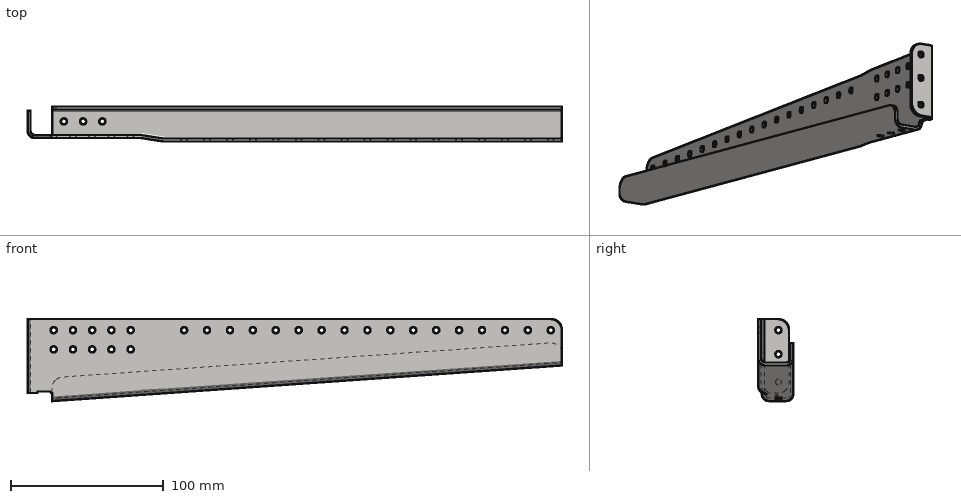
import cadquery as cq
import math

length = 350.0
width = 23.0
depth = 54.0

sheet = 2.0
inner_bend = 3.0
outer_bend = inner_bend + sheet
corner_radius = 7.5

channel_start = 16.0
taper = math.tan(math.radians(4))
lip_height = 15.5
joggle_start = 74.5
joggle_end = 89.5
joggle_offset = 2.35

tab_width = 20.3
tab_depth = 48.5
relief_start = 6.5
relief_height = 1.0
relief_radius = 1.5

hole_diameter = 4.0
top_margin = 7.5
hole_pitch = 12.5
web_columns = 5
web_rows = 2
web_first_x = 17.0
arm_count = 17
arm_first_x = 102.5
arm_last_x = length - top_margin
arm_pitch = (arm_last_x - arm_first_x) / (arm_count - 1)
flange_first_x = 23.8
flange_count = 3
flange_hole_y = 13.3
tab_hole_depths = (top_margin, 23.0, 41.3)


def channel_section(x, front):
    """U-shaped sheet section in the YZ plane at x, with its web face at Y = front."""
    bottom = -depth + (x - channel_start) * taper
    floor = bottom + sheet
    lip_top = bottom + lip_height
    bend_center_z = bottom + outer_bend
    front_center_y = front + outer_bend
    back_center_y = width - outer_bend
    outer_mid = outer_bend * math.sqrt(0.5)
    inner_mid = inner_bend * math.sqrt(0.5)
    return (
        cq.Workplane("YZ", origin=(x, 0, 0))
        .moveTo(front, 0)
        .lineTo(front, bend_center_z)
        .threePointArc((front_center_y - outer_mid, bend_center_z - outer_mid), (front_center_y, bottom))
        .lineTo(back_center_y, bottom)
        .threePointArc((back_center_y + outer_mid, bend_center_z - outer_mid), (width, bend_center_z))
        .lineTo(width, lip_top)
        .lineTo(width - sheet, lip_top)
        .lineTo(width - sheet, bend_center_z)
        .threePointArc((back_center_y + inner_mid, bend_center_z - inner_mid), (back_center_y, floor))
        .lineTo(front_center_y, floor)
        .threePointArc((front_center_y - inner_mid, bend_center_z - inner_mid), (front + sheet, bend_center_z))
        .lineTo(front + sheet, 0)
        .close()
        .val()
    )


def make_channel():
    sections = [
        channel_section(channel_start, joggle_offset),
        channel_section(joggle_start, joggle_offset),
        channel_section(joggle_end, 0),
        channel_section(length, 0),
    ]
    channel = cq.Workplane(cq.Solid.makeLoft(sections, True))
    free_end_corner = cq.selectors.NearestToPointSelector((length, sheet / 2, 0))
    channel = channel.edges(free_end_corner).fillet(corner_radius)
    for x in (channel_start, length):
        lip_top = -depth + (x - channel_start) * taper + lip_height
        lip_corner = cq.selectors.NearestToPointSelector((x, width - sheet / 2, lip_top))
        channel = channel.edges(lip_corner).fillet(corner_radius)
    return channel


def make_tab():
    """L-shaped end piece that joins the channel web at channel_start."""
    tab = (
        cq.Workplane("XY")
        .moveTo(channel_start, joggle_offset)
        .lineTo(outer_bend, joggle_offset)
        .radiusArc((0, joggle_offset + outer_bend), outer_bend)
        .lineTo(0, tab_width)
        .lineTo(sheet, tab_width)
        .lineTo(sheet, joggle_offset + outer_bend)
        .radiusArc((outer_bend, joggle_offset + sheet), -inner_bend)
        .lineTo(channel_start, joggle_offset + sheet)
        .close()
        .extrude(-tab_depth)
    )
    for z in (0, -tab_depth):
        tab_corner = cq.selectors.NearestToPointSelector((sheet / 2, tab_width, z))
        tab = tab.edges(tab_corner).fillet(corner_radius)
    relief = (
        cq.Workplane("XZ")
        .moveTo(relief_start, -tab_depth)
        .lineTo(relief_start, -tab_depth + relief_height)
        .lineTo(channel_start - relief_radius, -tab_depth + relief_height)
        .lineTo(channel_start, -tab_depth + relief_height - relief_radius)
        .lineTo(relief_start, -tab_depth + relief_height - relief_radius)
        .close()
        .extrude(-width)
    )
    return tab.cut(relief)


def drill_web(body):
    points = [
        (web_first_x + column * hole_pitch, -top_margin - row * hole_pitch)
        for column in range(web_columns)
        for row in range(web_rows)
    ]
    points += [(arm_last_x - index * arm_pitch, -top_margin) for index in range(arm_count)]
    drills = cq.Workplane("XZ").pushPoints(points).circle(hole_diameter / 2).extrude(-width / 2)
    return body.cut(drills)


def drill_flange(body):
    points = [(flange_first_x + index * hole_pitch, flange_hole_y) for index in range(flange_count)]
    drills = cq.Workplane("XY").pushPoints(points).circle(hole_diameter / 2).extrude(-depth)
    return body.cut(drills)


def drill_tab(body):
    points = [(flange_hole_y, -hole_depth) for hole_depth in tab_hole_depths]
    drills = cq.Workplane("YZ").pushPoints(points).circle(hole_diameter / 2).extrude(outer_bend)
    return body.cut(drills)


result = make_channel().union(make_tab())
result = drill_web(result)
result = drill_flange(result)
result = drill_tab(result)